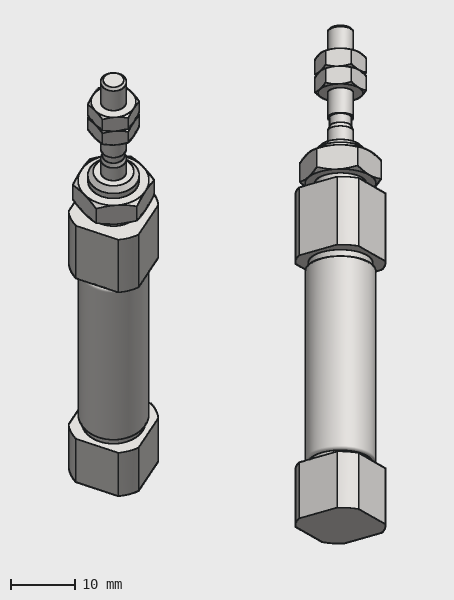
import cadquery as cq
import math

TOTAL_HEIGHT = 84.0

CAP_WIDTH = 12.0
CAP_CORNER_DIAMETER = 14.0
REAR_CAP_HEIGHT = 9.5
FRONT_CAP_BOTTOM = 44.5
FRONT_CAP_TOP = 56.0

TUBE_DIAMETER = 11.0
TUBE_NECK_DIAMETER = 10.0
TUBE_NECK_LENGTH = 1.1
TUBE_EDGE_RADIUS = (TUBE_DIAMETER - TUBE_NECK_DIAMETER) / 2

COLLAR_DIAMETER = 8.0
COLLAR_TOP = 64.0
COLLAR_CHAMFER = 0.8
MOUNTING_NUT_WIDTH = 11.0
MOUNTING_NUT_HEIGHT = 4.1
MOUNTING_NUT_BOTTOM = 58.0

ROD_DIAMETER = 4.0
ROD_BOTTOM = FRONT_CAP_BOTTOM
ROD_NECK_DIAMETER = 3.45
ROD_NECK_BOTTOM = 67.5
ROD_NECK_TOP = 69.05
ROD_SHOULDER_HEIGHT = 0.75
ROD_TIP_CHAMFER = 0.4

LOCK_NUT_WIDTH = 7.0
LOCK_NUT_HEIGHT = 3.0
LOCK_NUT_COUNT = 2
LOCK_NUTS_BOTTOM = 73.25

NUT_CHAMFER_ANGLE = math.radians(30)


def cylinder(diameter, bottom, top):
    """Upright cylinder between two heights."""
    return cq.Workplane("XY").workplane(offset=bottom).circle(diameter / 2).extrude(top - bottom)


def hex_nut(width, height, bottom):
    """Solid hexagon, corners toward +Y and -Y, both ends chamfered by a cone."""
    corner_diameter = width / math.cos(math.pi / 6)
    corner_radius = corner_diameter / 2
    face_radius = width / 2
    chamfer_height = (corner_radius - face_radius) * math.tan(NUT_CHAMFER_ANGLE)
    hexagon = (
        cq.Workplane("XY")
        .workplane(offset=bottom)
        .transformed(rotate=(0, 0, 90))
        .polygon(6, corner_diameter)
        .extrude(height)
    )
    top = bottom + height
    chamfer_envelope = (
        cq.Workplane("XZ")
        .moveTo(0, bottom)
        .lineTo(face_radius, bottom)
        .lineTo(corner_radius, bottom + chamfer_height)
        .lineTo(corner_radius, top - chamfer_height)
        .lineTo(face_radius, top)
        .lineTo(0, top)
        .close()
        .revolve(360, (0, 0, 0), (0, 1, 0))
    )
    return hexagon.intersect(chamfer_envelope)


def cap(bottom, top):
    """Square end cap with corners lying on a common cylinder."""
    square = cq.Workplane("XY").workplane(offset=bottom).rect(CAP_WIDTH, CAP_WIDTH).extrude(top - bottom)
    return square.intersect(cylinder(CAP_CORNER_DIAMETER, bottom, top))


def make_housing():
    """Caps, tube, collar and mounting nut, with the bore for the rod."""
    neck = cylinder(TUBE_NECK_DIAMETER, REAR_CAP_HEIGHT, FRONT_CAP_BOTTOM)
    tube_bottom = REAR_CAP_HEIGHT + TUBE_NECK_LENGTH
    tube_top = FRONT_CAP_BOTTOM - TUBE_NECK_LENGTH
    tube = cylinder(TUBE_DIAMETER, tube_bottom, tube_top).edges().fillet(TUBE_EDGE_RADIUS)
    collar = cylinder(COLLAR_DIAMETER, FRONT_CAP_TOP, COLLAR_TOP).faces(">Z").chamfer(COLLAR_CHAMFER)
    mounting_nut = hex_nut(MOUNTING_NUT_WIDTH, MOUNTING_NUT_HEIGHT, MOUNTING_NUT_BOTTOM)
    rod_bore = cylinder(ROD_DIAMETER, ROD_BOTTOM, COLLAR_TOP)
    return (
        cap(0, REAR_CAP_HEIGHT)
        .union(neck)
        .union(tube)
        .union(cap(FRONT_CAP_BOTTOM, FRONT_CAP_TOP))
        .union(collar)
        .union(mounting_nut)
        .cut(rod_bore)
    )


def make_piston_rod():
    """Stepped rod with a tapered shoulder, a neck, a chamfered tip and two lock nuts."""
    rod_radius = ROD_DIAMETER / 2
    neck_radius = ROD_NECK_DIAMETER / 2
    rod = (
        cq.Workplane("XZ")
        .moveTo(0, ROD_BOTTOM)
        .lineTo(rod_radius, ROD_BOTTOM)
        .lineTo(rod_radius, ROD_NECK_BOTTOM - ROD_SHOULDER_HEIGHT)
        .lineTo(neck_radius, ROD_NECK_BOTTOM)
        .lineTo(neck_radius, ROD_NECK_TOP)
        .lineTo(rod_radius, ROD_NECK_TOP)
        .lineTo(rod_radius, TOTAL_HEIGHT - ROD_TIP_CHAMFER)
        .lineTo(rod_radius - ROD_TIP_CHAMFER, TOTAL_HEIGHT)
        .lineTo(0, TOTAL_HEIGHT)
        .close()
        .revolve(360, (0, 0, 0), (0, 1, 0))
    )
    for index in range(LOCK_NUT_COUNT):
        nut_bottom = LOCK_NUTS_BOTTOM + index * LOCK_NUT_HEIGHT
        rod = rod.union(hex_nut(LOCK_NUT_WIDTH, LOCK_NUT_HEIGHT, nut_bottom))
    return rod


housing = make_housing()
piston_rod = make_piston_rod()

result = cq.Compound.makeCompound([housing.val(), piston_rod.val()])